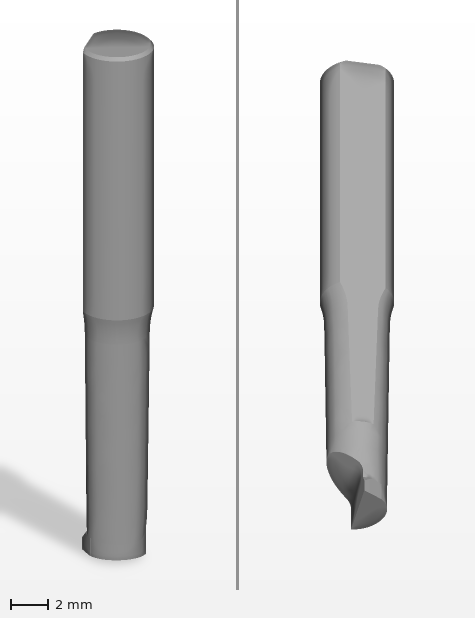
import cadquery as cq
import math

length = 30.0
shank_radius = 6 / 3
top_chamfer = 0.18

shank_bottom = 14.58
neck_top = 13.05
neck_top_radius = 1.77
head_top = 1.2
head_radius = 1.62

flat_x = -1.55
flat_bottom = 5.0

relief_corner_z = 2.0
relief_angle = 43.0
relief_corner_radius = 0.93

tip_x = -1.95
tooth_edge_top = 0.7
tooth_heel_x = -1.75
tooth_heel_y = -0.33
tooth_root_x = -1.2
tooth_root_y = -1.1
tooth_inner_x = -0.9

end_slope_x = 0.04
end_slope_y = 0.12

margin = 3.0


def turned_body():
    """Revolved blank; the shoulder arc is tangent to the neck."""
    return (
        cq.Workplane("XZ")
        .moveTo(0, 0)
        .lineTo(head_radius, 0)
        .lineTo(head_radius, head_top)
        .lineTo(neck_top_radius, neck_top)
        .tangentArcPoint((shank_radius, shank_bottom), relative=False)
        .lineTo(shank_radius, length - top_chamfer)
        .lineTo(shank_radius - top_chamfer, length)
        .lineTo(0, length)
        .close()
        .revolve(360, (0, 0, 0), (0, 1, 0))
    )


def side_flat():
    """Block that cuts the flat along the shank and neck."""
    return cq.Workplane("XY").box(
        margin, 2 * margin, length, centered=(False, True, False)
    ).translate((flat_x - margin, 0, flat_bottom))


def tooth():
    """Tooth with two side clearance faces behind its edge and a sloped upper corner."""
    plan = (
        cq.Workplane("XY")
        .polyline([
            (tooth_inner_x, 0),
            (tip_x, 0),
            (tooth_heel_x, tooth_heel_y),
            (tooth_root_x, tooth_root_y),
            (tooth_inner_x, tooth_root_y),
        ])
        .close()
        .extrude(head_top)
    )
    side = (
        cq.Workplane("XZ")
        .polyline([
            (tooth_inner_x, 0),
            (tip_x, 0),
            (tip_x, tooth_edge_top),
            (-head_radius, head_top),
            (tooth_inner_x, head_top),
        ])
        .close()
        .extrude(-tooth_root_y)
    )
    return plan.intersect(side)


def chip_relief():
    """Cut with a vertical face on Y = 0, a rounded corner and a sloped run-out."""
    slope = math.tan(math.radians(relief_angle))
    return (
        cq.Workplane("YZ")
        .polyline([
            (0, -margin),
            (0, relief_corner_z),
            (margin, relief_corner_z + margin * slope),
            (margin, -margin),
        ])
        .close()
        .extrude(margin, both=True)
        .edges("|X")
        .edges(cq.selectors.NearestToPointSelector((0, 0, relief_corner_z)))
        .fillet(relief_corner_radius)
    )


def end_clearance():
    """Block below the sloped end face, which passes through the tip."""
    end_plane = cq.Plane(
        origin=(tip_x, 0, 0),
        xDir=(1, 0, end_slope_x),
        normal=(-end_slope_x, end_slope_y, 1),
    )
    return cq.Workplane(end_plane).rect(4 * margin, 4 * margin).extrude(-margin)


result = (
    turned_body()
    .cut(side_flat())
    .union(tooth())
    .cut(chip_relief())
    .cut(end_clearance())
)